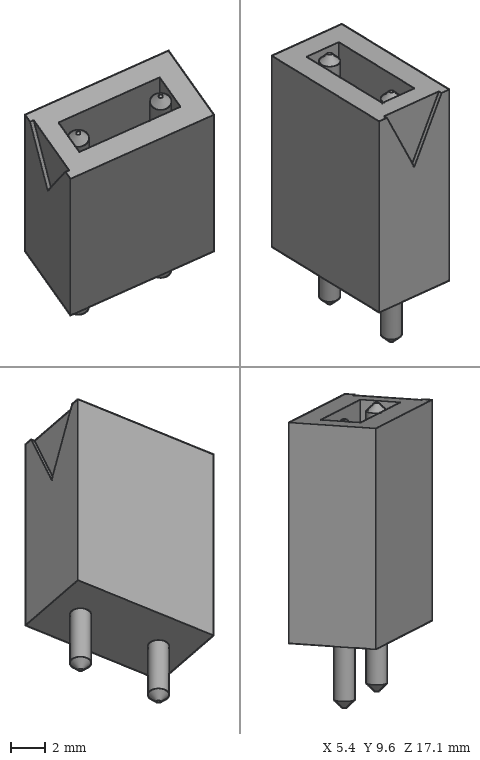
import cadquery as cq

housing_width = 5.4
housing_depth = 9.6
overall_height = 17.1
pin_projection = 4.0
housing_height = overall_height - pin_projection

pin_diameter = 1.25
pin_tip_diameter = 0.25
pin_pitch = 5.5
pin_taper = (pin_diameter - pin_tip_diameter) / 2
pin_positions = [-pin_pitch / 2, pin_pitch / 2]

cavity_width = 2.48
cavity_length = pin_pitch + pin_diameter
floor_thickness = (housing_depth - cavity_length) / 2

marker_width = 4.2
marker_height = marker_width
marker_recess = 0.24


def make_marker():
    """Triangular prism, point down, reaching into the housing from its -Y face."""
    return (
        cq.Workplane("XZ", origin=(0, -housing_depth / 2, housing_height))
        .moveTo(-marker_width / 2, 0)
        .lineTo(marker_width / 2, 0)
        .lineTo(0, -marker_height)
        .close()
        .extrude(-marker_recess)
    )


def make_housing():
    """Box with an open cavity, a pin hole for each pin and the marker recess."""
    body = cq.Workplane("XY").box(
        housing_width, housing_depth, housing_height, centered=(True, True, False)
    )
    cavity = (
        cq.Workplane("XY", origin=(0, 0, floor_thickness))
        .rect(cavity_width, cavity_length)
        .extrude(housing_height - floor_thickness)
    )
    pin_holes = (
        cq.Workplane("XY")
        .pushPoints([(0, y) for y in pin_positions])
        .circle(pin_diameter / 2)
        .extrude(floor_thickness)
    )
    return body.cut(cavity).cut(pin_holes).cut(make_marker())


def make_pin(y):
    """Round pin with flat-ended conical tips, standing at the given Y."""
    return (
        cq.Workplane("XY", origin=(0, y, -pin_projection))
        .circle(pin_diameter / 2)
        .extrude(overall_height)
        .faces("<Z or >Z")
        .chamfer(pin_taper)
    )


housing = make_housing()
pins = [make_pin(y) for y in pin_positions]

result = cq.Compound.makeCompound([housing.val(), *[pin.val() for pin in pins]])